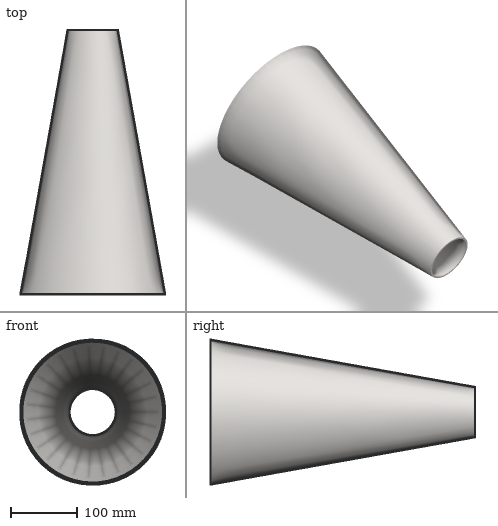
import cadquery as cq

length = 400.0
wide_diameter = 219.0
narrow_diameter = 76.0
wall = 3.0

wide_radius = wide_diameter / 2
narrow_radius = narrow_diameter / 2

wall_section = (
    cq.Workplane("XY")
    .moveTo(wide_radius - wall, 0)
    .lineTo(wide_radius, 0)
    .lineTo(narrow_radius, length)
    .lineTo(narrow_radius - wall, length)
    .close()
)

result = wall_section.revolve(360, (0, 0, 0), (0, 1, 0))